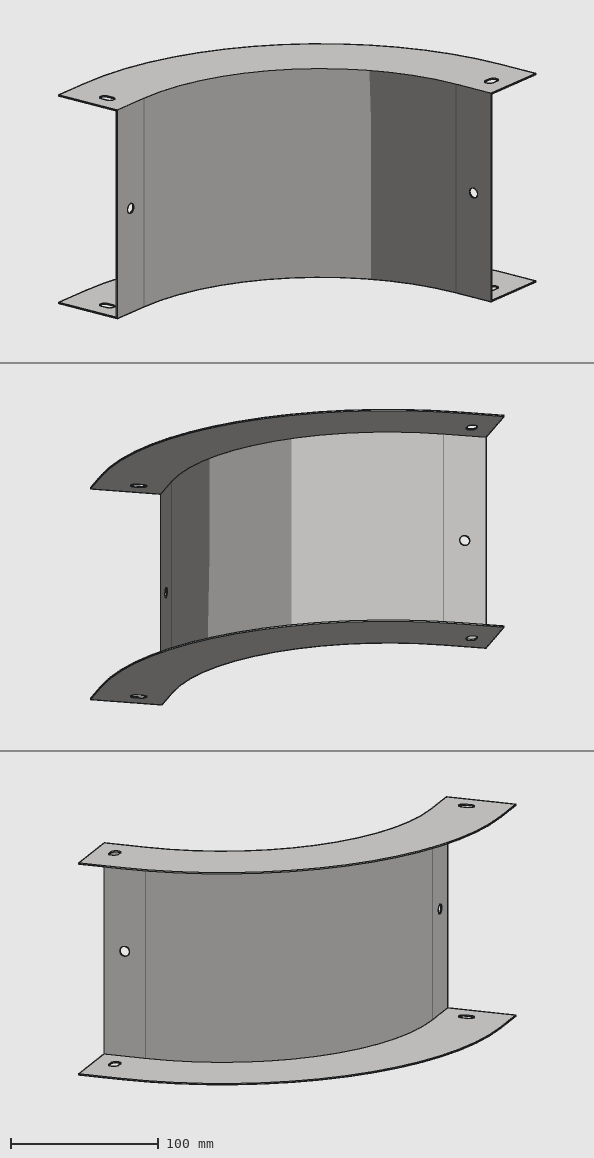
import cadquery as cq

overall = 230.0
height = 150.0
sheet = 1.0
flange_width = 50.0
straight = 30.0
hole_diameter = 7.0
slot_length = 11.0
slot_from_outer_edge = 30.0

half = overall / 2
bend_centre = half - straight
outer_radius = overall - straight
inner_radius = outer_radius - flange_width
hole_from_end = straight / 2
hole_place = half - hole_from_end
slot_place = half - slot_from_outer_edge


def bend_band(inner, outer, depth):
    """Quarter bend with straight ends, from -Y round to +X, extruded up from Z = 0."""
    def quarter(radius):
        diagonal = radius * 0.5 ** 0.5
        start = (bend_centre - radius, -bend_centre)
        middle = (bend_centre - diagonal, -bend_centre + diagonal)
        end = (bend_centre, -bend_centre + radius)
        return start, middle, end

    outer_start, outer_middle, outer_end = quarter(outer)
    inner_start, inner_middle, inner_end = quarter(inner)
    return (
        cq.Workplane("XY")
        .moveTo(outer_start[0], -half)
        .lineTo(*outer_start)
        .threePointArc(outer_middle, outer_end)
        .lineTo(half, outer_end[1])
        .lineTo(half, inner_end[1])
        .lineTo(*inner_end)
        .threePointArc(inner_middle, inner_start)
        .lineTo(inner_start[0], -half)
        .close()
        .extrude(depth)
    )


def flange_slot(x, y, angle):
    """Slot cutter through both flanges."""
    return (
        cq.Workplane("XY")
        .center(x, y)
        .slot2D(slot_length, hole_diameter, angle)
        .extrude(height)
    )


def wall_hole(plane, along):
    """Round cutter through one straight end of the wall, at mid height."""
    return (
        cq.Workplane(plane)
        .center(along, height / 2)
        .circle(hole_diameter / 2)
        .extrude(half, both=True)
    )


wall = bend_band(inner_radius, inner_radius + sheet, height)
flange = bend_band(inner_radius, outer_radius, sheet)
body = wall.union(flange).union(flange.translate((0, 0, height - sheet)))

body = body.cut(flange_slot(-slot_place, -hole_place, 0))
body = body.cut(flange_slot(hole_place, slot_place, 90))

body = body.cut(wall_hole("XZ", hole_place))
body = body.cut(wall_hole("YZ", -hole_place))

result = body